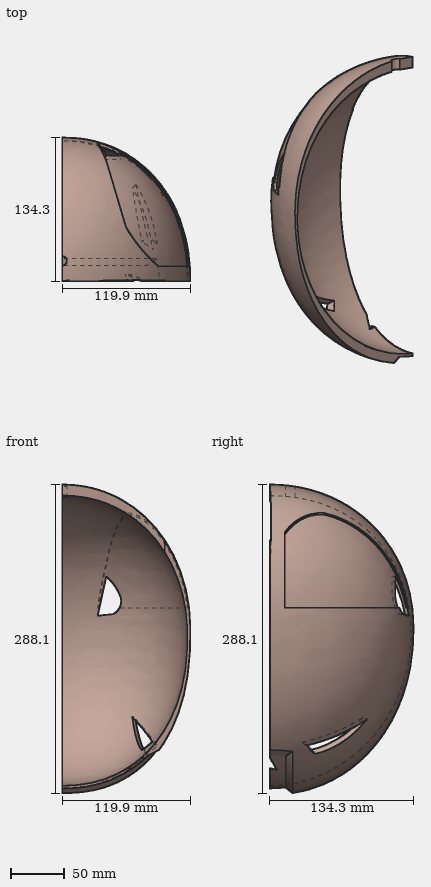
import cadquery as cq
import math


OUTER_X_PROFILE = (119.85, -136.5, 2.07, 2.31)
OUTER_Y_PROFILE = (134.25, -134.0, 2.06, 2.09)
OUTER_TOP = 0.0
INNER_X_PROFILE = (117.0, -142.0, 2.09, 2.20)
INNER_Y_PROFILE = (131.5, -140.0, 2.13, 1.97)
INNER_TOP = -10.3
INNER_BOTTOM = -281.0
PLAN_EXPONENT = 2.13
RINGS = 40
MERIDIANS = 16
SURFACE_TOLERANCE = 0.02
SHORTEST_EDGE = 1.0

TOTAL_HEIGHT = 288.1
CHIN_TIP_Y = 21.3
CHIN_STEP_Y = 14.8
LIP_THICKNESS = 2.7
CHIN_OUTLINE_TOP = -200.0
CHIN_OUTLINE_POINTS = 13
CHIN_END_OUTER = (88.0, -249.0)
CHIN_END_INNER = (75.0, -255.6)

NOTCH_TOP = (0.0, -255.0)
NOTCH_TIP = (6.5, -266.0)
NOTCH_BOTTOM = (0.0, -264.6)
NOTCH_START_X = 40.0

EYE_TOP = (41.3, -86.1)
EYE_SIDE_BEND = (49.2, -94.8)
EYE_SIDE = (54.7, -105.7)
EYE_CORNER_BEND = (52.7, -116.5)
EYE_CORNER_END = (47.8, -120.9)
EYE_INNER_CORNER = (33.3, -122.4)
EYE_START_Y = 60.0

SLIT_REAR = (87.2, -216.7)
SLIT_UPPER_MID = (55.0, -233.0)
SLIT_UPPER_FRONT = (30.0, -240.2)
SLIT_LOWER_FRONT = (37.0, -247.8)
SLIT_LOWER_MID = (60.4, -239.0)
SLIT_DIRECTION = (1.0, 1.1, -0.75)

PANEL_REAR = (32.2, 130.2)
PANEL_REAR_BEND = (36.5, 122.9)
PANEL_REAR_END = (41.6, 111.3)
PANEL_KNEE = (59.7, 50.4)
PANEL_FRONT_BEND = (72.8, 31.6)
PANEL_FRONT = (90.1, 13.8)
PANEL_DEPTH = 1.2
PANEL_BOTTOM = -115.0

GROOVE_Y = 19.0
GROOVE_RADIUS = 4.5
GROOVE_BOTTOM = -40.0
RIM_RELIEF_DEPTH = 1.0
RIM_RELIEF_START = 33.0
RIM_RELIEF_FULL = 41.0
RIM_RELIEF_END = 96.0
RIM_RELIEF_BOTTOM = -70.0

BEYOND = 200.0
FAR_BELOW = -400.0
MARGIN = 5.0


def outer_bottom():
    """Pole height that puts the chin tip at the total height."""
    half_width, middle, _, exponent = OUTER_Y_PROFILE
    drop_share = (1 - (CHIN_TIP_Y / half_width) ** exponent) ** (1 / exponent)
    return middle - (TOTAL_HEIGHT + middle) / drop_share


def profile_radius(profile, top, bottom, z):
    """Half width of a profile at height z."""
    half_width, middle, upper_exponent, lower_exponent = profile
    if z > middle:
        exponent = upper_exponent
        share = (z - middle) / (top - middle)
    else:
        exponent = lower_exponent
        share = (middle - z) / (middle - bottom)
    return half_width * max(0.0, 1 - share ** exponent) ** (1 / exponent)


def quarter_dome(x_profile, y_profile, top, bottom):
    """Solid bounded by a superelliptic surface and the planes X = 0 and Y = 0."""
    grid = []
    for ring in range(RINGS + 1):
        z = (top + bottom) / 2 + (top - bottom) / 2 * math.cos(math.pi * ring / RINGS)
        x_radius = profile_radius(x_profile, top, bottom, z)
        y_radius = profile_radius(y_profile, top, bottom, z)
        if ring in (0, RINGS):
            x_radius = 0.0
            y_radius = 0.0
        row = []
        for meridian in range(MERIDIANS + 1):
            angle = math.pi / 2 * meridian / MERIDIANS
            across = abs(math.cos(angle))
            along = abs(math.sin(angle))
            if meridian == MERIDIANS:
                across = 0.0
            reach = (across ** PLAN_EXPONENT + along ** PLAN_EXPONENT) ** (-1 / PLAN_EXPONENT)
            row.append(cq.Vector(x_radius * reach * across, y_radius * reach * along, z))
        grid.append(row)
    dome = cq.Face.makeSplineApprox(grid, tol=SURFACE_TOLERANCE, minDeg=3, maxDeg=6)
    axis = cq.Edge.makeLine(cq.Vector(0, 0, top), cq.Vector(0, 0, bottom))
    faces = [dome]
    for edge in dome.Edges():
        if edge.Length() > SHORTEST_EDGE:
            faces.append(cq.Face.makeFromWires(cq.Wire.assembleEdges([edge, axis])))
    return cq.Workplane(cq.Solid.makeSolid(cq.Shell.makeShell(faces)))


def offset_profile(profile, distance):
    """The same profile grown outward by a distance."""
    half_width, middle, upper_exponent, lower_exponent = profile
    return (half_width + distance, middle, upper_exponent, lower_exponent)


def outer_dome(offset=0.0):
    return quarter_dome(
        offset_profile(OUTER_X_PROFILE, offset),
        offset_profile(OUTER_Y_PROFILE, offset),
        OUTER_TOP + offset,
        outer_bottom() - offset,
    )


def inner_dome(offset=0.0):
    return quarter_dome(
        offset_profile(INNER_X_PROFILE, offset),
        offset_profile(INNER_Y_PROFILE, offset),
        INNER_TOP + offset,
        INNER_BOTTOM - offset,
    )


def surface_x(x_profile, y_profile, top, bottom, y, z):
    """X of a superelliptic surface at a given Y and Z."""
    x_radius = profile_radius(x_profile, top, bottom, z)
    y_radius = profile_radius(y_profile, top, bottom, z)
    return x_radius * (1 - (y / y_radius) ** PLAN_EXPONENT) ** (1 / PLAN_EXPONENT)


def inner_x(y, z):
    return surface_x(INNER_X_PROFILE, INNER_Y_PROFILE, INNER_TOP, INNER_BOTTOM, y, z)


def chin_outline(x_profile, y_profile, top, bottom, y):
    """Closed outline of the lower part of a surface in a plane of constant Y."""
    half_width, middle, _, exponent = y_profile
    drop_share = (1 - (y / half_width) ** exponent) ** (1 / exponent)
    lowest = middle - (middle - bottom) * drop_share
    points = [cq.Vector(0, y, lowest)]
    for step in range(1, CHIN_OUTLINE_POINTS):
        share = (step / (CHIN_OUTLINE_POINTS - 1)) ** 2
        z = lowest + (CHIN_OUTLINE_TOP - lowest) * share
        points.append(cq.Vector(surface_x(x_profile, y_profile, top, bottom, y, z), y, z))
    corner = cq.Vector(0, y, CHIN_OUTLINE_TOP)
    return cq.Wire.assembleEdges([
        cq.Edge.makeSpline(points),
        cq.Edge.makeLine(points[-1], corner),
        cq.Edge.makeLine(corner, points[0]),
    ])


def below_chin_end(start_y, end_y):
    """Block under the line that closes the chin cut at the side."""
    end_slope = (CHIN_END_OUTER[1] - CHIN_END_INNER[1]) / (CHIN_END_OUTER[0] - CHIN_END_INNER[0])
    return (
        cq.Workplane("XZ", origin=(0, start_y, 0))
        .moveTo(-MARGIN, CHIN_END_INNER[1])
        .lineTo(*CHIN_END_INNER)
        .lineTo(BEYOND, CHIN_END_OUTER[1] + end_slope * (BEYOND - CHIN_END_OUTER[0]))
        .lineTo(BEYOND, FAR_BELOW)
        .lineTo(-MARGIN, FAR_BELOW)
        .close()
        .extrude(start_y - end_y)
    )


def lip_cut():
    """Outer layer of the chin between the rim and the foot of the shoulder."""
    return below_chin_end(-MARGIN, CHIN_STEP_Y).cut(inner_dome(LIP_THICKNESS))


def shoulder_cut():
    """Space outside the slanted shoulder, which runs from the lip out to the outer surface."""
    lip_outline = chin_outline(
        offset_profile(INNER_X_PROFILE, LIP_THICKNESS),
        offset_profile(INNER_Y_PROFILE, LIP_THICKNESS),
        INNER_TOP + LIP_THICKNESS,
        INNER_BOTTOM - LIP_THICKNESS,
        CHIN_STEP_Y,
    )
    outer_outline = chin_outline(
        OUTER_X_PROFILE, OUTER_Y_PROFILE, OUTER_TOP, outer_bottom(), CHIN_TIP_Y
    )
    shoulder = cq.Solid.makeLoft([lip_outline, outer_outline], True)
    return below_chin_end(CHIN_STEP_Y, CHIN_TIP_Y).cut(cq.Workplane(shoulder))


def rim_notch():
    return (
        cq.Workplane("YZ", origin=(NOTCH_START_X, 0, 0))
        .polyline([(-MARGIN, NOTCH_TOP[1]), NOTCH_TOP, NOTCH_TIP, NOTCH_BOTTOM, (-MARGIN, NOTCH_BOTTOM[1])])
        .close()
        .extrude(BEYOND)
    )


def eye_opening():
    return (
        cq.Workplane("XZ", origin=(0, EYE_START_Y, 0))
        .moveTo(*EYE_TOP)
        .threePointArc(EYE_SIDE_BEND, EYE_SIDE)
        .threePointArc(EYE_CORNER_BEND, EYE_CORNER_END)
        .lineTo(*EYE_INNER_CORNER)
        .close()
        .extrude(-BEYOND)
    )


def cheek_slit():
    """Slanted prism whose outline meets the inner surface at the slit points."""
    direction = cq.Vector(*SLIT_DIRECTION)

    def on_middle_plane(point):
        y, z = point
        x = inner_x(y, z)
        return cq.Vector(x, y, z) - direction * (x / direction.x)

    rear = on_middle_plane(SLIT_REAR)
    upper_front = on_middle_plane(SLIT_UPPER_FRONT)
    lower_front = on_middle_plane(SLIT_LOWER_FRONT)
    outline = cq.Wire.assembleEdges([
        cq.Edge.makeThreePointArc(rear, on_middle_plane(SLIT_UPPER_MID), upper_front),
        cq.Edge.makeLine(upper_front, lower_front),
        cq.Edge.makeThreePointArc(lower_front, on_middle_plane(SLIT_LOWER_MID), rear),
    ])
    return cq.Workplane(cq.Solid.extrudeLinear(outline, [], direction * BEYOND))


def side_panel():
    """Skin of constant depth behind and outside the panel line."""
    panel_prism = (
        cq.Workplane("XY", origin=(0, 0, PANEL_BOTTOM))
        .moveTo(*PANEL_REAR)
        .threePointArc(PANEL_REAR_BEND, PANEL_REAR_END)
        .lineTo(*PANEL_KNEE)
        .threePointArc(PANEL_FRONT_BEND, PANEL_FRONT)
        .lineTo(BEYOND, PANEL_FRONT[1])
        .lineTo(BEYOND, BEYOND)
        .lineTo(PANEL_REAR[0], BEYOND)
        .close()
        .extrude(BEYOND)
    )
    return panel_prism.cut(outer_dome(-PANEL_DEPTH))


def crown_groove():
    return (
        cq.Workplane("XY", origin=(0, GROOVE_Y, GROOVE_BOTTOM))
        .circle(GROOVE_RADIUS)
        .extrude(BEYOND)
    )


def rim_relief():
    return (
        cq.Workplane("XY", origin=(0, 0, RIM_RELIEF_BOTTOM))
        .moveTo(RIM_RELIEF_START, 0)
        .lineTo(RIM_RELIEF_FULL, RIM_RELIEF_DEPTH)
        .lineTo(RIM_RELIEF_END, RIM_RELIEF_DEPTH)
        .lineTo(RIM_RELIEF_END, -MARGIN)
        .lineTo(RIM_RELIEF_START, -MARGIN)
        .close()
        .extrude(BEYOND)
    )


result = outer_dome().cut(side_panel()).cut(inner_dome())
cutters = [
    lip_cut(),
    shoulder_cut(),
    rim_notch(),
    eye_opening(),
    cheek_slit(),
    crown_groove(),
    rim_relief(),
]
for cutter in cutters:
    result = result.cut(cutter)